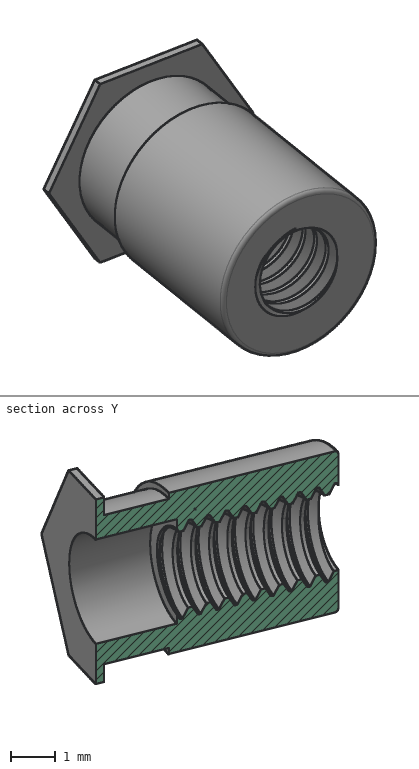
import cadquery as cq
import math

total_length = 6.0

head_across_flats = 4.8
head_thickness = 0.21
head_across_corners = head_across_flats / math.cos(math.radians(30))

neck_diameter = 3.89
barrel_diameter = 4.2
barrel_start = 1.8
barrel_edge_radius = 0.1

counterbore_diameter = 2.7
counterbore_depth = 2.0

thread_major_diameter = 2.5
thread_pitch = 0.45
flank_half_angle = math.radians(30)
sharp_v_height = thread_pitch / 2 / math.tan(flank_half_angle)
thread_depth = 5 / 8 * sharp_v_height
major_radius = thread_major_diameter / 2
minor_radius = major_radius - thread_depth
groove_bottom_width = thread_pitch / 8

cutter_overlap = 0.03

trim_allowance = 3 * thread_pitch
stock_length = total_length + trim_allowance


def make_cylinder(diameter, start, end):
    return cq.Workplane("YZ", origin=(start, 0, 0)).circle(diameter / 2).extrude(end - start)


def make_blank():
    """Head, neck and overlong barrel, with the stepped bore but no thread."""
    head = cq.Workplane("YZ").polygon(6, head_across_corners).extrude(head_thickness)
    neck = make_cylinder(neck_diameter, 0, barrel_start)
    barrel = make_cylinder(barrel_diameter, barrel_start, stock_length)
    minor_bore = make_cylinder(2 * minor_radius, 0, stock_length)
    counterbore = make_cylinder(counterbore_diameter, 0, counterbore_depth)
    return head.union(neck).union(barrel).cut(minor_bore).cut(counterbore)


def make_thread_groove():
    """Right-hand helical groove, centred on -Y where it meets the counterbore floor.

    It starts one pitch before the floor and ends inside the extra stock.
    """
    turns = math.ceil((total_length - counterbore_depth) / thread_pitch) + 2
    helix = cq.Wire.makeHelix(thread_pitch, turns * thread_pitch, major_radius)

    inner_radius = minor_radius - cutter_overlap
    half_bottom = groove_bottom_width / 2
    half_mouth = half_bottom + (major_radius - inner_radius) * math.tan(flank_half_angle)
    groove = (
        cq.Workplane("XZ")
        .moveTo(major_radius, -half_bottom)
        .lineTo(major_radius, half_bottom)
        .lineTo(inner_radius, half_mouth)
        .lineTo(inner_radius, -half_mouth)
        .close()
        .sweep(cq.Workplane(obj=helix), isFrenet=True)
    )

    thread_plane = cq.Plane(
        origin=(counterbore_depth - thread_pitch, 0, 0),
        xDir=(0, -1, 0),
        normal=(1, 0, 0),
    )
    return cq.Workplane(obj=groove.val().moved(cq.Location(thread_plane)))


def finish_far_end(part):
    """Trim the barrel to length and round its outer edge."""
    trimmed = part.cut(make_cylinder(2 * barrel_diameter, total_length, 2 * stock_length))
    return trimmed.faces(">X").edges(cq.selectors.RadiusNthSelector(-1)).fillet(barrel_edge_radius)


threaded_part = make_blank().cut(make_thread_groove())
result = cq.Workplane(obj=finish_far_end(threaded_part).solids().val())